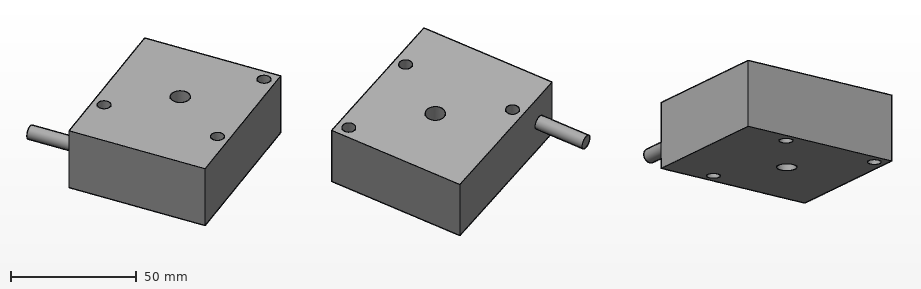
import cadquery as cq

total_length = 82.0
block_length = 60.0
block_width = 70.0
block_height = 28.0

bore_diameter = 8.0
bore_from_back = 30.0
mount_diameter = 5.5
mount_edge_distance = 5.0
front_mount_y = 22.0

cable_diameter = 6.0
cable_y = 10.0
cable_length = total_length - block_length

left_x = mount_edge_distance
right_x = block_length - mount_edge_distance
back_mount_y = block_width - mount_edge_distance
mount_points = [
    (left_x, front_mount_y),
    (right_x, front_mount_y),
    (right_x, back_mount_y),
]
bore_point = (block_length / 2, block_width - bore_from_back)


def through_holes(points, diameter):
    return (
        cq.Workplane("XY")
        .pushPoints(points)
        .circle(diameter / 2)
        .extrude(block_height)
    )


block = cq.Workplane("XY").box(block_length, block_width, block_height, centered=False)
block = block.cut(through_holes([bore_point], bore_diameter))
block = block.cut(through_holes(mount_points, mount_diameter))

cable = (
    cq.Workplane("YZ")
    .center(cable_y, block_height / 2)
    .circle(cable_diameter / 2)
    .extrude(-cable_length)
)

result = block.union(cable)